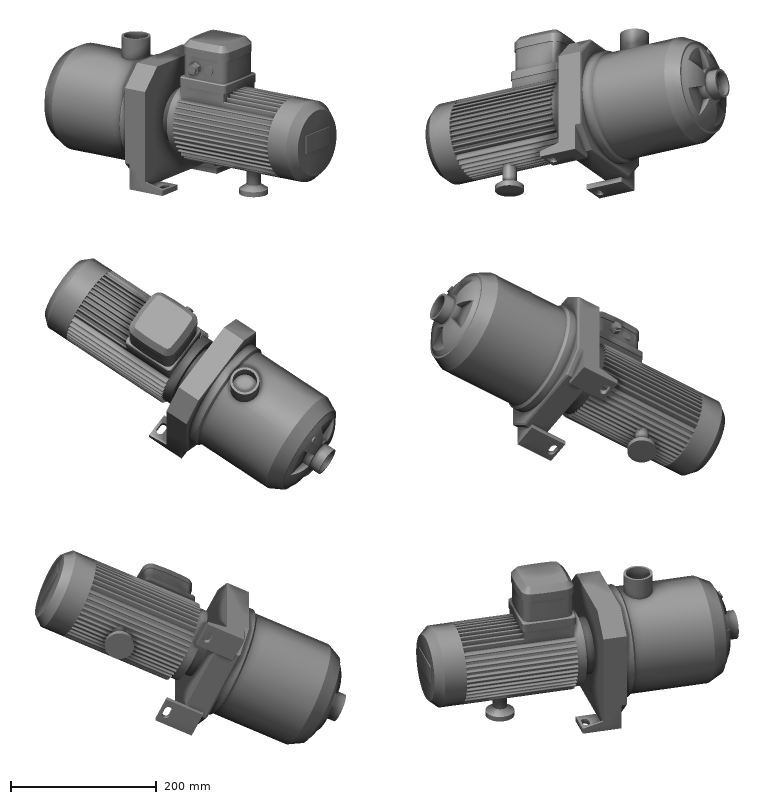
import cadquery as cq
import math


LENGTH = 442.5
HEIGHT = 212.0

CASING_DIA = 149.0
INLET_DIA = 40.0
PORT_BORE = 33.5
HUB_DIA = 49.5
HUB_X = 15.0
DOME_DIA = 123.0
DOME_RIM_DIA = 129.0
DOME_RIM_X = 30.0
CASING_START_X = 49.5
RING_DIA = 156.5
RING_X = 165.5
RING_TAPER = 3.0
WINDOW_FLOOR_X = 24.8
WINDOW_COUNT = 4
WINDOW_ANGLE = 45.0
OUTLET_X = 138.0
OUTLET_TOP_Z = 102.0
OUTLET_DEPTH = 19.5
DOME_SAG = DOME_RIM_X - HUB_X
DOME_WIDTH = (DOME_DIA - HUB_DIA) / 2
DOME_ARC_RADIUS = (DOME_WIDTH**2 + DOME_SAG**2) / (2 * DOME_SAG)

VENT_DIA = 10.0
VENT_Z = 49.5
VENT_HEIGHT = 2.0
VENT_DEPTH = 4.5

PLATE_SIZE = 166.0
PLATE_CORNER = 29.0
PLATE_X = 176.5
PLATE_BEVEL = 2.5
PLATE_BEVEL_DEPTH = 1.1
BRACKET_X = 185.5
BRACKET_END_X = 211.0
BASE_Z = -90.05
FOOT_END_X = 240.2
FOOT_WIDTH = 36.0
FOOT_RIB = 2.5
FOOT_FLOOR = 7.5
RIB_START_Z = -75.0
RIB_END_Z = -82.5
SLOT_WIDTH = 10.0
SLOT_LENGTH = 17.5
SLOT_X = 231.5
SLOT_Y = 65.0

COLLAR_DIA = 79.5
MOTOR_FLANGE_DIA = 103.5
MOTOR_FLANGE_X = 225.5
MOTOR_DIA = 113.5
STATOR_X = 239.0
COVER_X = 397.5
CORE_DIA = MOTOR_FLANGE_DIA
FIN_WIDTH = 2.5
FIN_PITCH = 7.05
FINS_PER_HALF = 5

COVER_TAPER_X = 429.0
COVER_END_X = 441.0
COVER_END_DIA = 93.0
BADGE_WIDTH = 55.7
BADGE_HEIGHT = 25.5
BADGE_Z = 3.5

BOX_X = 274.7
PEDESTAL_END_X = 310.5
PEDESTAL_WIDTH = 74.0
PEDESTAL_Z = 44.0
BASE_PLATE_SIZE = 77.0
BASE_PLATE_Z = 56.5
BASE_PLATE_CORNER = 5.5
BASE_PLATE_BEVEL = 1.5
BOX_Z = 69.5
BOX_SIZE = 73.5
BOX_CORNER = 10.0
LID_Z = 101.8
LID_SIZE = 76.5
LID_CORNER = 13.3
LID_TOP_Z = BASE_Z + HEIGHT
LID_BEVEL = 7.5
LID_BEVEL_HEIGHT = 8.5
SIDE_BOW = 2.0

ENTRY_Z = 86.0
GLAND_X = 264.0
GLAND_SIDES = 6
GLAND_FLATS = 14.0
GLAND_NUT_LENGTH = 6.5
GLAND_CAP_DIA = 12.0
GLAND_END_Y = -48.0
BLANK_X = 285.5
BLANK_DIA = 13.5
BLANK_HEIGHT = 1.5

SUPPORT_X = 335.0
SUPPORT_STEM_DIA = 20.0
SUPPORT_BASE_DIA = 40.0
SUPPORT_RIM_HEIGHT = 7.0
SUPPORT_CONE_HEIGHT = 13.5
SUPPORT_TOP_Z = -48.5


def cylinder_x(diameter, start, end):
    return cq.Workplane("YZ").workplane(offset=start).circle(diameter / 2).extrude(end - start)


def cylinder_z(diameter, x, bottom, top):
    return cq.Workplane("XY").workplane(offset=bottom).center(x, 0).circle(diameter / 2).extrude(top - bottom)


def dome_x(radius):
    """X of the dome surface at a distance from the shaft axis."""
    return HUB_X + DOME_ARC_RADIUS - math.sqrt(DOME_ARC_RADIUS**2 - (radius - HUB_DIA / 2) ** 2)


def dome_slope(radius):
    """Angle in degrees between the dome normal and the shaft axis."""
    return math.degrees(math.asin((radius - HUB_DIA / 2) / DOME_ARC_RADIUS))


def make_vent_plug():
    normal_angle = math.radians(180 - dome_slope(VENT_Z))
    normal = cq.Vector(math.cos(normal_angle), 0, math.sin(normal_angle))
    seat = cq.Vector(dome_x(VENT_Z), 0, VENT_Z)
    plane = cq.Plane(origin=(seat - normal * VENT_DEPTH).toTuple(), xDir=(0, 1, 0), normal=normal.toTuple())
    return cq.Workplane(plane).circle(VENT_DIA / 2).extrude(VENT_DEPTH + VENT_HEIGHT)


def window_cutter():
    """Sector that leaves a flat floor in the dome, between the hub and the dome surface."""
    half_angle = math.radians(WINDOW_ANGLE / 2)
    reach_y = DOME_DIA * math.cos(half_angle)
    reach_z = DOME_DIA * math.sin(half_angle)
    sector = (
        cq.Workplane("YZ")
        .polyline([(0, 0), (reach_y, -reach_z), (reach_y, reach_z)])
        .close()
        .extrude(WINDOW_FLOOR_X)
    )
    return sector.cut(cylinder_x(HUB_DIA, 0, WINDOW_FLOOR_X))


def make_casing(vent_plug):
    middle_radius = (HUB_DIA + DOME_DIA) / 4
    body = (
        cq.Workplane("XZ")
        .moveTo(HUB_X, 0)
        .lineTo(HUB_X, HUB_DIA / 2)
        .threePointArc((dome_x(middle_radius), middle_radius), (DOME_RIM_X, DOME_DIA / 2))
        .lineTo(DOME_RIM_X, DOME_RIM_DIA / 2)
        .lineTo(CASING_START_X, CASING_DIA / 2)
        .lineTo(RING_X - RING_TAPER, CASING_DIA / 2)
        .lineTo(RING_X, RING_DIA / 2)
        .lineTo(PLATE_X, RING_DIA / 2)
        .lineTo(PLATE_X, 0)
        .close()
        .revolve(360, (0, 0, 0), (1, 0, 0))
    )
    cutter = window_cutter()
    for index in range(WINDOW_COUNT):
        angle = (index + 0.5) * 360 / WINDOW_COUNT
        body = body.cut(cutter.rotate((0, 0, 0), (1, 0, 0), angle))
    inlet = cylinder_x(INLET_DIA, 0, HUB_X)
    outlet = cylinder_z(INLET_DIA, OUTLET_X, 0, OUTLET_TOP_Z)
    inlet_bore = cylinder_x(PORT_BORE, 0, HUB_X)
    outlet_bore = cylinder_z(PORT_BORE, OUTLET_X, OUTLET_TOP_Z - OUTLET_DEPTH, OUTLET_TOP_Z)
    return body.union(inlet).union(outlet).cut(inlet_bore).cut(outlet_bore).cut(vent_plug)


def octagon_block(start, end):
    block = cq.Workplane("YZ").workplane(offset=start).rect(PLATE_SIZE, PLATE_SIZE).extrude(end - start)
    return block.edges("|X").chamfer(PLATE_CORNER)


def make_flange_plate():
    plate = octagon_block(PLATE_X, BRACKET_X)
    return plate.faces("<X").edges().chamfer(PLATE_BEVEL, PLATE_BEVEL_DEPTH)


def make_foot():
    """One foot on the +Y side: an upright, a flat slotted floor and a sloping outer rib."""
    half = PLATE_SIZE / 2
    corner = cq.Workplane("XY", origin=(BRACKET_X, half - FOOT_WIDTH, BASE_Z))
    upright = corner.box(BRACKET_END_X - BRACKET_X, FOOT_WIDTH, -BASE_Z, centered=False)
    floor = corner.box(FOOT_END_X - BRACKET_X, FOOT_WIDTH, FOOT_FLOOR, centered=False)
    rib = (
        cq.Workplane("XZ", origin=(0, half, 0))
        .moveTo(BRACKET_END_X, BASE_Z)
        .lineTo(FOOT_END_X, BASE_Z)
        .lineTo(FOOT_END_X, RIB_END_Z)
        .lineTo(BRACKET_END_X, RIB_START_Z)
        .close()
        .extrude(FOOT_RIB)
    )
    slot = (
        cq.Workplane("XY", origin=(SLOT_X, SLOT_Y, BASE_Z))
        .slot2D(SLOT_LENGTH, SLOT_WIDTH, 90)
        .extrude(FOOT_FLOOR)
    )
    return upright.union(floor).union(rib).cut(slot)


def make_bracket():
    foot = make_foot()
    return octagon_block(BRACKET_X, BRACKET_END_X).union(foot).union(foot.mirror("XZ"))


def bowed_square(size, corner, bottom, height):
    """Square block on the terminal box centre with outward-bowed sides and rounded corners."""
    half = size / 2
    tip = half - SIDE_BOW
    block = (
        cq.Workplane("XY", origin=(BOX_X, 0, bottom))
        .moveTo(-tip, -tip)
        .threePointArc((0, -half), (tip, -tip))
        .threePointArc((half, 0), (tip, tip))
        .threePointArc((0, half), (-tip, tip))
        .threePointArc((-half, 0), (-tip, -tip))
        .close()
        .extrude(height)
    )
    return block.edges("|Z").fillet(corner)


def make_stator():
    """Round core with parallel round-tipped fins: level ones on the sides, upright ones above and below."""
    stator = cylinder_x(CORE_DIA, STATOR_X, COVER_X)
    fin_length = COVER_X - STATOR_X
    for index in range(-FINS_PER_HALF, FINS_PER_HALF + 1):
        offset = index * FIN_PITCH
        span = 2 * math.sqrt((MOTOR_DIA / 2) ** 2 - offset**2)
        fin_plane = cq.Workplane("YZ", origin=(STATOR_X, 0, 0))
        level = fin_plane.center(0, offset).slot2D(span, FIN_WIDTH).extrude(fin_length)
        upright = fin_plane.center(offset, 0).slot2D(span, FIN_WIDTH, 90).extrude(fin_length)
        stator = stator.union(level).union(upright)
    return stator


def make_motor(support):
    collar = cylinder_x(COLLAR_DIA, BRACKET_END_X, MOTOR_FLANGE_X)
    flange = cylinder_x(MOTOR_FLANGE_DIA, MOTOR_FLANGE_X, STATOR_X)
    pedestal = cq.Workplane("XY", origin=(STATOR_X, 0, PEDESTAL_Z)).box(
        PEDESTAL_END_X - STATOR_X, PEDESTAL_WIDTH, BASE_PLATE_Z - PEDESTAL_Z, centered=(False, True, False)
    )
    base_plate = (
        cq.Workplane("XY", origin=(BOX_X, 0, BASE_PLATE_Z))
        .rect(BASE_PLATE_SIZE, BASE_PLATE_SIZE)
        .extrude(BOX_Z - BASE_PLATE_Z)
        .edges("|Z")
        .fillet(BASE_PLATE_CORNER)
        .faces(">Z")
        .chamfer(BASE_PLATE_BEVEL)
    )
    return make_stator().union(collar).union(flange).union(pedestal).union(base_plate).cut(support)


def make_fan_cover():
    cover = (
        cq.Workplane("XZ")
        .moveTo(COVER_X, 0)
        .lineTo(COVER_X, MOTOR_DIA / 2)
        .lineTo(COVER_TAPER_X, MOTOR_DIA / 2)
        .lineTo(COVER_END_X, COVER_END_DIA / 2)
        .lineTo(COVER_END_X, 0)
        .close()
        .revolve(360, (0, 0, 0), (1, 0, 0))
    )
    badge = (
        cq.Workplane("YZ", origin=(COVER_END_X, 0, BADGE_Z))
        .rect(BADGE_WIDTH, BADGE_HEIGHT)
        .extrude(LENGTH - COVER_END_X)
    )
    return cover.union(badge)


def cable_entry(x):
    """Workplane facing -Y on the axis of a cable entry, inside the terminal box."""
    return cq.Workplane("XZ", origin=(x, 0, ENTRY_Z))


def make_box_shell():
    return bowed_square(BOX_SIZE, BOX_CORNER, BOX_Z, LID_Z - BOX_Z)


def make_gland():
    """Hexagon nut with two corners up and down, and a round cap, ending at the box wall."""
    half_sector = math.pi / GLAND_SIDES
    nut = (
        cable_entry(GLAND_X)
        .polygon(GLAND_SIDES, GLAND_FLATS / math.cos(half_sector))
        .extrude(BOX_SIZE / 2 + GLAND_NUT_LENGTH)
        .rotate((GLAND_X, 0, ENTRY_Z), (GLAND_X, 1, ENTRY_Z), math.degrees(half_sector))
    )
    cap = cable_entry(GLAND_X).circle(GLAND_CAP_DIA / 2).extrude(-GLAND_END_Y)
    return nut.union(cap).cut(make_box_shell())


def make_terminal_box():
    blank = cable_entry(BLANK_X).circle(BLANK_DIA / 2).extrude(BOX_SIZE / 2 + BLANK_HEIGHT)
    return make_box_shell().union(blank)


def make_lid():
    lid = bowed_square(LID_SIZE, LID_CORNER, LID_Z, LID_TOP_Z - LID_Z)
    return lid.faces(">Z").edges().chamfer(LID_BEVEL_HEIGHT, LID_BEVEL)


def make_support():
    return (
        cq.Workplane("XZ", origin=(SUPPORT_X, 0, 0))
        .moveTo(0, BASE_Z)
        .lineTo(SUPPORT_BASE_DIA / 2, BASE_Z)
        .lineTo(SUPPORT_BASE_DIA / 2, BASE_Z + SUPPORT_RIM_HEIGHT)
        .lineTo(SUPPORT_STEM_DIA / 2, BASE_Z + SUPPORT_CONE_HEIGHT)
        .lineTo(SUPPORT_STEM_DIA / 2, SUPPORT_TOP_Z)
        .lineTo(0, SUPPORT_TOP_Z)
        .close()
        .revolve(360, (0, 0, 0), (0, 1, 0))
    )


vent_plug = make_vent_plug()
casing = make_casing(vent_plug)
flange_plate = make_flange_plate()
bracket = make_bracket()
support = make_support()
motor = make_motor(support)
fan_cover = make_fan_cover()
terminal_box = make_terminal_box()
lid = make_lid()
gland = make_gland()

bodies = [casing, vent_plug, flange_plate, bracket, motor, fan_cover, support, terminal_box, lid, gland]
result = cq.Compound.makeCompound([body.val() for body in bodies])